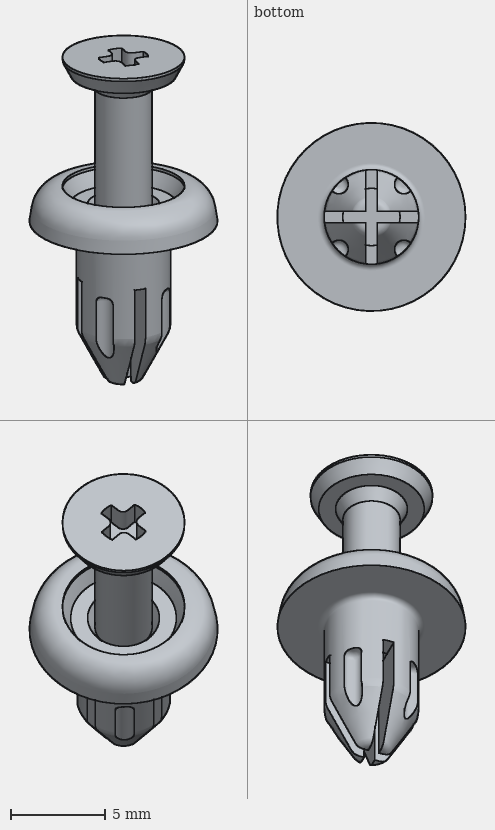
import cadquery as cq


overall_height = 18.3
flange_top_z = 11.0
flange_bottom_z = 9.0
slot_top_z = 6.0

shaft_radius = 1.52
head_radius = 3.24
head_rim_height = 0.16
head_height = 1.0
head_bottom_radius = 2.8
neck_top_radius = 1.9
neck_height = 0.75

drive_radius = 1.32
drive_arm_width = 0.77
drive_depth = 1.5
drive_inner_fillet = 0.37

flange_radius = 5.0
flange_side_taper = 9.0
flange_edge_fillet = 1.5

body_radius = 2.5
body_neck_fillet = 0.33
nose_height = 3.0
tip_radius = 0.93
nose_fillet = 1.0
tip_fillet = 0.5
slot_width = 0.6

groove_count = 4
groove_first_angle = 45.0
groove_radius = 0.5
groove_offset = 2.43
groove_top_z = 5.5
groove_top_fillet = 0.35


def headed_profile(top_z, bottom_z):
    """Solid of revolution with a countersunk head at top_z and a shaft down to bottom_z."""
    head_bottom_z = top_z - head_height
    return (
        cq.Workplane("XZ")
        .moveTo(0, top_z)
        .lineTo(head_radius, top_z)
        .lineTo(head_radius, top_z - head_rim_height)
        .lineTo(head_bottom_radius, head_bottom_z)
        .lineTo(neck_top_radius, head_bottom_z)
        .lineTo(shaft_radius, head_bottom_z - neck_height)
        .lineTo(shaft_radius, bottom_z)
        .lineTo(0, bottom_z)
        .close()
        .revolve(360, (0, 0), (0, 1))
    )


def drive_recess():
    """Cross-shaped pocket sunk into the top of the pin, its arm ends curved about the pin's axis."""
    floor = cq.Workplane("XY", origin=(0, 0, overall_height - drive_depth))
    arm_along_x = floor.rect(2 * drive_radius, drive_arm_width).extrude(drive_depth)
    arm_along_y = floor.rect(drive_arm_width, 2 * drive_radius).extrude(drive_depth)
    inner_corners = cq.selectors.BoxSelector(
        (-drive_arm_width, -drive_arm_width, 0),
        (drive_arm_width, drive_arm_width, overall_height),
    )
    cross = arm_along_x.union(arm_along_y).edges("|Z").edges(inner_corners).fillet(drive_inner_fillet)
    return cross.intersect(floor.circle(drive_radius).extrude(drive_depth))


def make_pin():
    return headed_profile(overall_height, slot_top_z).cut(drive_recess())


def make_flange():
    """Tapered disc with a large round over its upper edge."""
    thickness = flange_top_z - flange_bottom_z
    return (
        cq.Workplane("XY", origin=(0, 0, flange_bottom_z))
        .circle(flange_radius)
        .extrude(thickness, taper=flange_side_taper)
        .edges(">Z")
        .fillet(flange_edge_fillet)
    )


def make_body():
    """Cylinder with a conical nose, rounded where the nose starts and at the tip."""
    body = (
        cq.Workplane("XZ")
        .lineTo(tip_radius, 0)
        .lineTo(body_radius, nose_height)
        .lineTo(body_radius, flange_bottom_z)
        .lineTo(0, flange_bottom_z)
        .close()
        .revolve(360, (0, 0), (0, 1))
    )
    nose_start = cq.selectors.NearestToPointSelector((0, 0, nose_height))
    return body.edges("<Z").fillet(tip_fillet).edges(nose_start).fillet(nose_fillet)


def cross_slots():
    """Two crossing slots that split the lower body into four prongs."""
    length = 2 * flange_radius
    slot = cq.Workplane("XY").rect(length, slot_width).extrude(slot_top_z)
    return slot.union(slot.rotate((0, 0, 0), (0, 0, 1), 90))


def groove_cutter(angle):
    """Round-topped vertical cutter that sinks into the body's surface."""
    cutter = (
        cq.Workplane("XY")
        .center(groove_offset, 0)
        .circle(groove_radius)
        .extrude(groove_top_z)
        .edges(">Z")
        .fillet(groove_top_fillet)
    )
    return cutter.rotate((0, 0, 0), (0, 0, 1), angle)


def make_grommet():
    grommet = make_flange().union(make_body())
    flange_underside = cq.selectors.NearestToPointSelector((0, 0, flange_bottom_z))
    body_corner = cq.selectors.RadiusNthSelector(0)
    grommet = grommet.faces(flange_underside).edges(body_corner).fillet(body_neck_fillet)
    grommet = grommet.cut(headed_profile(flange_top_z, slot_top_z))
    grommet = grommet.cut(cross_slots())
    for index in range(groove_count):
        grommet = grommet.cut(groove_cutter(groove_first_angle + index * 360 / groove_count))
    return grommet


pin = make_pin()
grommet = make_grommet()
result = cq.Compound.makeCompound([pin.val(), grommet.val()])